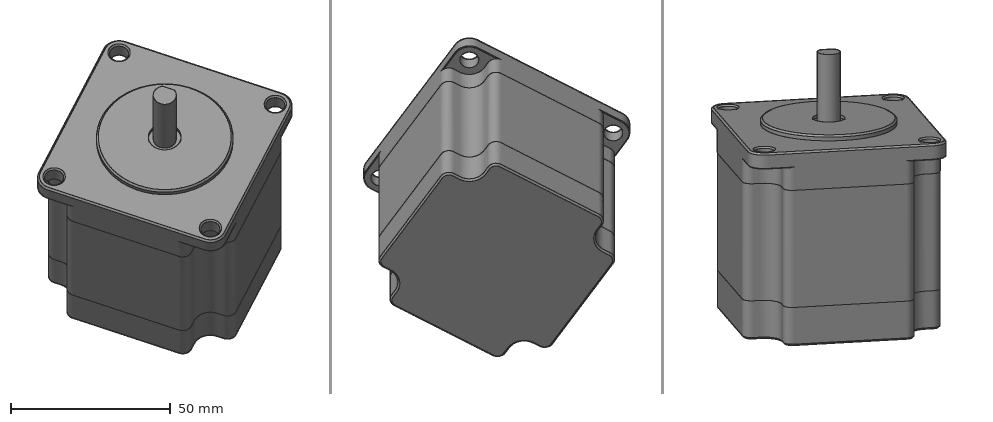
import cadquery as cq


body_width = 63.3
rear_bell_top = 12.5
stator_top = 50.3
flange_bottom = 57.6
flange_top = 62.8
pilot_top = 64.6
shaft_top = 86.0
edge_chamfer = 0.6

flange_under_chamfer = 0.3
hole_spacing = 52.9
hole_diameter = 5.9
hole_chamfer = 0.5
countersink_angle = 90
corner_radius = (body_width - hole_spacing) / 2

notch_radius = 5.5
notch_lip_radius = 2.9
notch_depth = corner_radius + notch_radius

pilot_diameter = 42.7
recess_diameter = 10.2
recess_depth = 1.0
recess_floor = pilot_top - recess_depth

shaft_diameter = 7.2
flat_depth = 0.6
flat_bottom = 69.1


def notched_block(bottom, top):
    """Square block with a rounded notch along each vertical corner."""
    block = cq.Workplane("XY").workplane(offset=bottom).rect(body_width, body_width).extrude(top - bottom)
    cutters = (
        cq.Workplane("XY")
        .workplane(offset=bottom)
        .rect(body_width, body_width, forConstruction=True)
        .vertices()
        .rect(2 * notch_depth, 2 * notch_depth)
        .extrude(top - bottom)
        .edges("|Z")
        .fillet(notch_radius)
    )
    block = block.cut(cutters)
    lips = block.faces("<X or >X or <Y or >Y").edges("|Z")
    return lips.fillet(notch_lip_radius)


def make_rear_bell():
    """Notched block with a chamfered bottom edge."""
    return notched_block(0, rear_bell_top).faces("<Z").edges().chamfer(edge_chamfer)


def make_stator():
    """Notched block between the two bells."""
    return notched_block(rear_bell_top, stator_top)


def make_flange():
    """Rounded square plate with bevelled rims and four countersunk through holes."""
    flange = (
        cq.Workplane("XY")
        .workplane(offset=flange_bottom)
        .rect(body_width, body_width)
        .extrude(flange_top - flange_bottom)
        .edges("|Z")
        .fillet(corner_radius)
    )
    flange = flange.faces(">Z").edges().chamfer(edge_chamfer)
    flange = flange.faces("<Z").edges().chamfer(flange_under_chamfer)
    return (
        flange.faces(">Z")
        .workplane(origin=(0, 0, flange_top))
        .rect(hole_spacing, hole_spacing, forConstruction=True)
        .vertices()
        .cskHole(hole_diameter, hole_diameter + 2 * hole_chamfer, countersink_angle)
    )


def make_pilot():
    """Round locating boss with a chamfered rim."""
    return (
        cq.Workplane("XY")
        .workplane(offset=flange_top)
        .circle(pilot_diameter / 2)
        .extrude(pilot_top - flange_top)
        .faces(">Z")
        .edges()
        .chamfer(edge_chamfer)
    )


def make_front_bell():
    """Notched base, flange and pilot boss in one piece, with a recess around the shaft."""
    recess = cq.Workplane("XY").workplane(offset=recess_floor).circle(recess_diameter / 2).extrude(recess_depth)
    base = notched_block(stator_top, flange_bottom + flange_under_chamfer)
    return base.union(make_flange()).union(make_pilot()).cut(recess)


def make_shaft():
    """Round shaft standing on the recess floor, with a flat along its upper length."""
    shaft_radius = shaft_diameter / 2
    shaft_length = shaft_top - recess_floor
    shaft = cq.Workplane("XY").workplane(offset=recess_floor).circle(shaft_radius).extrude(shaft_length)
    flat_cutter = cq.Workplane("XY").box(
        shaft_diameter, shaft_diameter, shaft_top - flat_bottom, centered=(True, False, False)
    )
    return shaft.cut(flat_cutter.translate((0, shaft_radius - flat_depth, flat_bottom)))


rear_bell = make_rear_bell()
stator = make_stator()
front_bell = make_front_bell()
shaft = make_shaft()

result = cq.Compound.makeCompound([rear_bell.val(), stator.val(), front_bell.val(), shaft.val()])